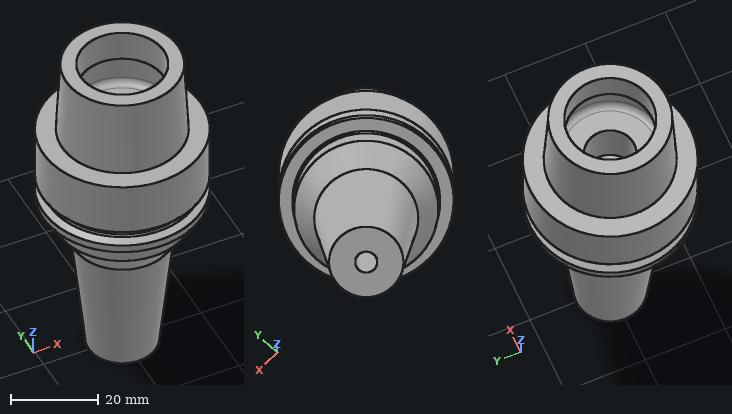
import cadquery as cq
import math

total_height = 85.0

shank_top_radius = 14.2
shank_base_radius = 15.2
shank_length = 20.0

flange_radius = 20.02
flange_bottom = 40.0
upper_land_bottom = 33.8
groove_radius = 17.3
groove_bevel = 1.0
groove_bevel_angle = 60.0
lower_land_height = 2.0
groove_top = upper_land_bottom + groove_bevel
lower_land_top = flange_bottom - lower_land_height
groove_bottom = lower_land_top - groove_bevel
groove_mouth_radius = flange_radius - groove_bevel * math.tan(math.radians(groove_bevel_angle))

collar_radius = 16.5
collar_bottom = 46.0
collar_bevel = 0.4
nose_top = 52.9
nose_top_radius = 11.9
nose_tip_radius = 8.5

mouth_bore_radius = 10.5
mouth_bore_depth = 8.0
undercut_radius = 12.75
undercut_fillet = 1.7
undercut_floor = 17.5
inner_bore_radius = 6.0
inner_bore_bottom = 29.75
through_hole_radius = 2.51


def height(depth):
    """Z of a point lying the given depth below the top face."""
    return total_height - depth


def bore(radius, top_depth, bottom_depth):
    """Cylinder on the axis between two depths."""
    return (
        cq.Workplane("XY", origin=(0, 0, height(bottom_depth)))
        .circle(radius)
        .extrude(bottom_depth - top_depth)
    )


def outer_body():
    """Solid of revolution carrying the shank, flange, collar and nose."""
    profile = [
        (0, 0),
        (shank_top_radius, 0),
        (shank_base_radius, shank_length),
        (flange_radius, shank_length),
        (flange_radius, upper_land_bottom),
        (groove_mouth_radius, groove_top),
        (groove_radius, groove_top),
        (groove_radius, groove_bottom),
        (groove_mouth_radius, groove_bottom),
        (flange_radius, lower_land_top),
        (flange_radius, flange_bottom),
        (collar_radius + collar_bevel, flange_bottom),
        (collar_radius, flange_bottom + collar_bevel),
        (collar_radius, collar_bottom),
        (nose_top_radius, nose_top),
        (nose_tip_radius, total_height),
        (0, total_height),
    ]
    points = [(radius, height(depth)) for radius, depth in profile]
    return cq.Workplane("XZ").polyline(points).close().revolve(360, (0, 0), (0, 1))


def undercut():
    """Wide chamber behind the mouth bore, with a rounded floor corner."""
    chamber = bore(undercut_radius, mouth_bore_depth, undercut_floor)
    return chamber.faces("<Z").edges().fillet(undercut_fillet)


bore_steps = [
    (mouth_bore_radius, 0, mouth_bore_depth),
    (inner_bore_radius, undercut_floor, inner_bore_bottom),
    (through_hole_radius, inner_bore_bottom, total_height),
]

result = outer_body().cut(undercut())
for radius, top_depth, bottom_depth in bore_steps:
    result = result.cut(bore(radius, top_depth, bottom_depth))